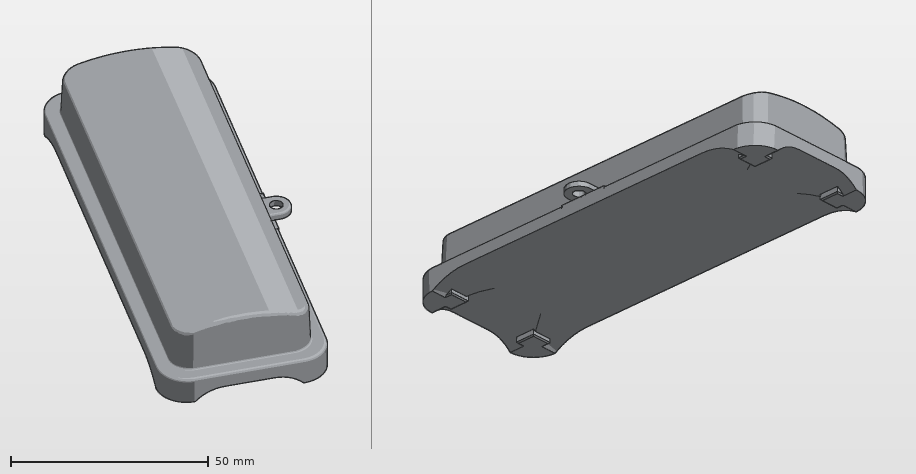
import cadquery as cq
import math

base_length = 121.7
base_width = 44.9
base_height = 7.2
base_corner_radius = 8.0
base_edge_fillet = 0.9

body_length = 113.7
body_width = 37.0
body_corner_radius = 5.5
body_draft_angle = 2.0
body_top_fillet = 1.3
body_foot_fillet = 0.5
crown_height = 21.0
crown_radius = 54.4

notch_height = 3.3
long_notch_half_span = 53.0
long_notch_run = 11.3
short_notch_half_span = 14.2
short_notch_run = 7.7

pad_inner_x = 50.4
pad_inner_y = 11.9
pad_size = 6.1
pad_chamfer = 0.4

tab_half_width = 3.9
tab_overhang = 5.2
tab_tip_y = base_width / 2 + tab_overhang
tab_hole_diameter = 3.4
tab_thickness = 1.7
tab_edge_fillet = 0.6
tab_flare_start_y = 21.2
tab_flare_radius = 3.4
tab_flare_width = 1.3
tab_root_overlap = 1.2
tab_seat_width = 14.8


def make_base():
    """Rounded flange with a softened top edge, kept square under the tab."""
    outline = cq.Workplane("XY").rect(base_length, base_width)
    base = outline.extrude(base_height).edges("|Z").fillet(base_corner_radius)
    base = base.faces(">Z").edges().fillet(base_edge_fillet)
    seat_height = base_height - notch_height
    tab_seat = cq.Workplane("XY").box(
        tab_seat_width, base_width / 2, seat_height, centered=(True, False, False)
    )
    tab_seat = tab_seat.translate((0, 0, notch_height))
    return base.union(tab_seat)


def make_body():
    """Drafted block with rounded corners, topped by a cylindrical crown."""
    body = (
        cq.Workplane("XY")
        .workplane(offset=base_height)
        .rect(body_length, body_width)
        .extrude(crown_height - base_height, taper=body_draft_angle)
        .edges("not #Z")
        .fillet(body_corner_radius)
    )
    crown = (
        cq.Workplane("YZ")
        .center(0, crown_height - crown_radius)
        .circle(crown_radius)
        .extrude(body_length / 2, both=True)
    )
    return body.intersect(crown).faces(">Z").edges().fillet(body_top_fillet)


def make_notch(plane, half_span, run, length):
    """Prism with a flat roof and an arc, tangent to the roof, at each end."""
    radius = (run**2 + notch_height**2) / (2 * notch_height)
    roof_half = half_span - run
    mid_angle = math.asin(run / radius) / 2
    mid_x = roof_half + radius * math.sin(mid_angle)
    mid_z = notch_height - radius * (1 - math.cos(mid_angle))
    return (
        cq.Workplane(plane)
        .moveTo(-half_span, 0)
        .threePointArc((-mid_x, mid_z), (-roof_half, notch_height))
        .lineTo(roof_half, notch_height)
        .threePointArc((mid_x, mid_z), (half_span, 0))
        .close()
        .extrude(length / 2, both=True)
    )


def make_pads():
    """Four pads that continue the feet inward, chamfered at the bottom."""
    offset_x = pad_inner_x + pad_size / 2
    offset_y = pad_inner_y + pad_size / 2
    return (
        cq.Workplane("XY")
        .rect(2 * offset_x, 2 * offset_y, forConstruction=True)
        .vertices()
        .rect(pad_size, pad_size)
        .extrude(notch_height)
        .faces("<Z")
        .edges()
        .chamfer(pad_chamfer)
    )


def make_tab():
    """Round-ended ear with a hole, flaring out where it meets the body."""
    hole_y = tab_tip_y - tab_half_width
    root_y = body_width / 2 - tab_root_overlap
    flare_depth = math.sqrt(tab_flare_radius**2 - (tab_flare_radius - tab_flare_width) ** 2)
    flare_end_y = tab_flare_start_y - flare_depth
    flare_half = tab_half_width + tab_flare_width
    tab = (
        cq.Workplane("XY")
        .workplane(offset=base_height)
        .moveTo(-tab_half_width, hole_y)
        .threePointArc((0, tab_tip_y), (tab_half_width, hole_y))
        .lineTo(tab_half_width, tab_flare_start_y)
        .radiusArc((flare_half, flare_end_y), -tab_flare_radius)
        .lineTo(flare_half, root_y)
        .lineTo(-flare_half, root_y)
        .lineTo(-flare_half, flare_end_y)
        .radiusArc((-tab_half_width, tab_flare_start_y), -tab_flare_radius)
        .close()
        .extrude(tab_thickness)
    )
    tab = tab.faces(">Z").edges("not <Y").fillet(tab_edge_fillet)
    hole = cq.Workplane("XY").center(0, hole_y).circle(tab_hole_diameter / 2).extrude(crown_height)
    return tab.cut(hole)


cover = make_base().union(make_body())
zone_margin = 0.1
zone_x = body_length / 2 + zone_margin
zone_y = body_width / 2 + zone_margin
foot_zone = cq.selectors.BoxSelector(
    (-zone_x, -zone_y, base_height - zone_margin),
    (zone_x, zone_y, base_height + zone_margin),
    boundingbox=True,
)
cover = cover.edges(foot_zone).fillet(body_foot_fillet)

cover = cover.cut(make_notch("XZ", long_notch_half_span, long_notch_run, base_width))
cover = cover.cut(make_notch("YZ", short_notch_half_span, short_notch_run, base_length))
cover = cover.union(make_pads())

result = cover.union(make_tab())